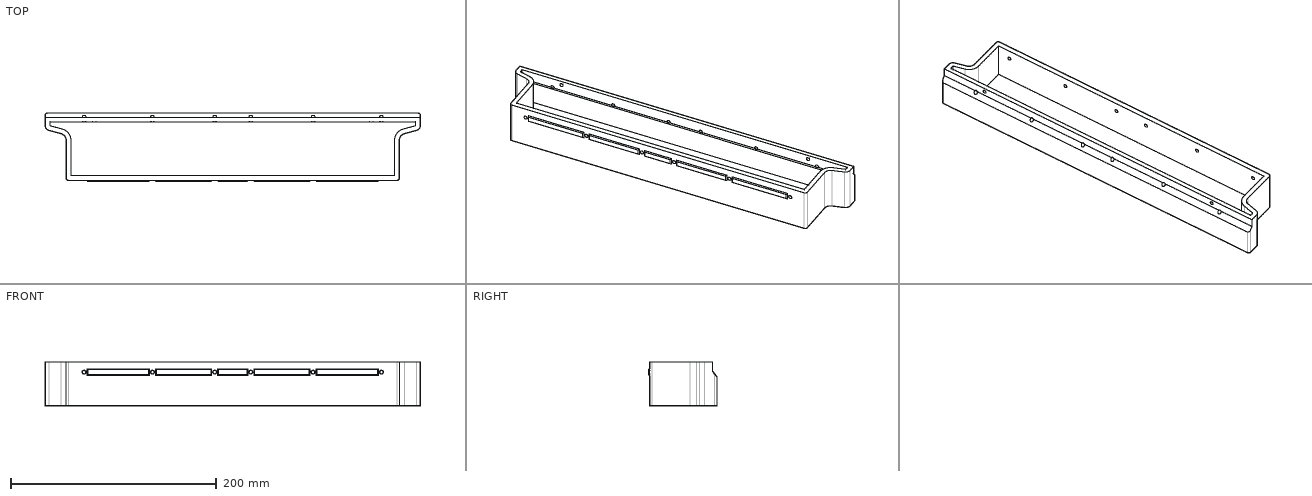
import cadquery as cq
import math

LENGTH = 366.2
HEIGHT = 43.0
DEPTH = 66.0
RIB_HEIGHT = 1.0
BACK_Y = (DEPTH + RIB_HEIGHT) / 2
FRONT_Y = BACK_Y - DEPTH
HALF_LENGTH = LENGTH / 2

HALF_NECK = 162.5
WING_DEPTH = 16.0
WING_ANGLE = 15.0
WING_RADIUS = 5.0
NECK_RADIUS = 6.5
CORNER_RADIUS = 2.38

WALL = 4.8
FRONT_WALL = 5.0
BACK_WALL = 4.5
FLOOR = 4.0

BACK_STEP = 4.5
SLOPE_HEIGHT = 5.5
OUTER_SLOPE_Z = HEIGHT - 9.0
INNER_SLOPE_Z = HEIGHT - 10.5

HOLE_DIAMETER = 3.4
HOLE_Z = HEIGHT - 10.07
HOLE_OFFSETS = (17.5, 78.5, 145.0)
HOLE_XS = sorted(side * x for x in HOLE_OFFSETS for side in (-1, 1))

MOUNT_DIAMETER = 3.3
MOUNT_X = 135.0
MOUNT_Z = HEIGHT - 4.5

RIB_WIDTH = 6.5
RIB_TOP_WIDTH = 4.8
RIB_GAP = 3.0


def wing_front_y(x, offset=0.0):
    """Y of the sloping wing front at x, moved inward by offset at right angles to it."""
    angle = math.radians(WING_ANGLE)
    corner_y = BACK_Y - WING_DEPTH
    return corner_y - (HALF_LENGTH - x) * math.tan(angle) + offset / math.cos(angle)


def plan_prism(half_length, half_neck, back_y, front_y, offset, bottom_z):
    """Prism over the winged plan with sharp corners, from bottom_z to the top."""
    right_side = [
        (half_length, back_y),
        (half_length, wing_front_y(half_length, offset)),
        (half_neck, wing_front_y(half_neck, offset)),
        (half_neck, front_y),
    ]
    left_side = [(-x, y) for x, y in reversed(right_side)]
    plan = cq.Workplane("XY", origin=(0, 0, bottom_z)).polyline(right_side + left_side).close()
    return plan.extrude(HEIGHT - bottom_z)


def round_corners(body, x, y, radius):
    """Round the upright edges at (x, y) and (-x, y)."""
    reach = 0.5
    for side in (-1, 1):
        near_corner = cq.selectors.BoxSelector(
            (side * x - reach, y - reach, 0), (side * x + reach, y + reach, HEIGHT)
        )
        body = body.edges("|Z").edges(near_corner).fillet(radius)
    return body


def make_outer_block():
    block = plan_prism(HALF_LENGTH, HALF_NECK, BACK_Y, FRONT_Y, 0, 0)
    block = round_corners(block, HALF_LENGTH, BACK_Y, CORNER_RADIUS)
    block = round_corners(block, HALF_LENGTH, wing_front_y(HALF_LENGTH), WING_RADIUS)
    block = round_corners(block, HALF_NECK, wing_front_y(HALF_NECK), NECK_RADIUS)
    return round_corners(block, HALF_NECK, FRONT_Y, CORNER_RADIUS)


def make_back_recess():
    """Space behind the upper part of the back wall, over the outer slope."""
    upper_y = BACK_Y - BACK_STEP
    profile = [
        (upper_y, HEIGHT),
        (upper_y, OUTER_SLOPE_Z),
        (BACK_Y, OUTER_SLOPE_Z - SLOPE_HEIGHT),
        (BACK_Y, HEIGHT),
    ]
    return cq.Workplane("YZ").polyline(profile).close().extrude(HALF_LENGTH, both=True)


def make_cavity():
    """Open space inside the tray, deeper towards the back below the inner slope."""
    half_length = HALF_LENGTH - WALL
    half_neck = HALF_NECK - WALL
    lower_y = BACK_Y - BACK_WALL
    upper_y = lower_y - BACK_STEP
    cavity = plan_prism(half_length, half_neck, upper_y, FRONT_Y + FRONT_WALL, WALL, FLOOR)
    cavity = round_corners(cavity, half_neck, wing_front_y(half_neck, WALL), NECK_RADIUS + WALL)
    undercut_profile = [
        (upper_y, FLOOR),
        (upper_y, INNER_SLOPE_Z),
        (lower_y, INNER_SLOPE_Z - SLOPE_HEIGHT),
        (lower_y, FLOOR),
    ]
    undercut = cq.Workplane("YZ").polyline(undercut_profile).close().extrude(half_length, both=True)
    return cavity.union(undercut)


def make_rib(start_x, end_x):
    """Rib on the front face that narrows on all four sides towards its top."""
    rib_length = end_x - start_x
    taper = RIB_WIDTH - RIB_TOP_WIDTH
    return (
        cq.Workplane("XZ", origin=((start_x + end_x) / 2, FRONT_Y, HOLE_Z))
        .rect(rib_length, RIB_WIDTH)
        .workplane(offset=RIB_HEIGHT)
        .rect(rib_length - taper, RIB_TOP_WIDTH)
        .loft(ruled=True)
    )


def make_through_holes():
    points = [(x, HOLE_Z) for x in HOLE_XS]
    return cq.Workplane("XZ").pushPoints(points).circle(HOLE_DIAMETER / 2).extrude(DEPTH, both=True)


def make_mounting_holes():
    """Holes through the back wall only."""
    points = [(side * MOUNT_X, MOUNT_Z) for side in (-1, 1)]
    plane = cq.Workplane("XZ", origin=(0, BACK_Y, 0))
    return plane.pushPoints(points).circle(MOUNT_DIAMETER / 2).extrude(BACK_STEP + BACK_WALL)


def make_tray():
    tray = make_outer_block().cut(make_back_recess()).cut(make_cavity())
    for left_hole, right_hole in zip(HOLE_XS, HOLE_XS[1:]):
        tray = tray.union(make_rib(left_hole + RIB_GAP, right_hole - RIB_GAP))
    return tray.cut(make_through_holes()).cut(make_mounting_holes())


tray = make_tray()

result = cq.Compound.makeCompound([tray.val()])